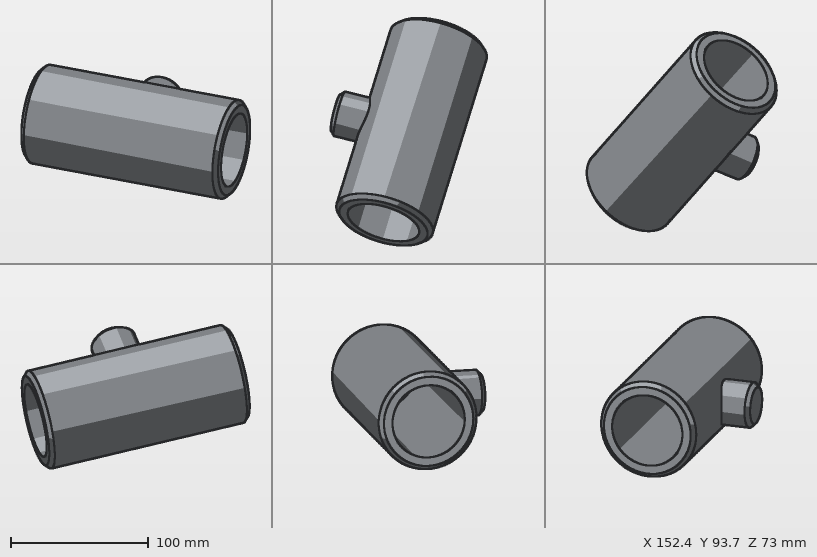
import cadquery as cq

tube_length = 152.4
tube_diameter = 73.0
bore_diameter = 54.0

branch_diameter = 33.4
overall_width = 93.7
branch_reach = overall_width - tube_diameter / 2

bevel = 3.2


def make_tube_body():
    """Solid cylinder with both outer end edges bevelled."""
    body = cq.Workplane("YZ").circle(tube_diameter / 2).extrude(tube_length / 2, both=True)
    return body.faces("<X or >X").chamfer(bevel)


def make_branch():
    """Solid stub from the tube axis, with its outer end bevelled."""
    stub = cq.Workplane("XZ").circle(branch_diameter / 2).extrude(-branch_reach)
    return stub.faces(">Y").chamfer(bevel)


def make_bore():
    """Straight bore through the full length of the tube."""
    return cq.Workplane("YZ").circle(bore_diameter / 2).extrude(tube_length / 2, both=True)


result = make_tube_body().union(make_branch()).cut(make_bore())